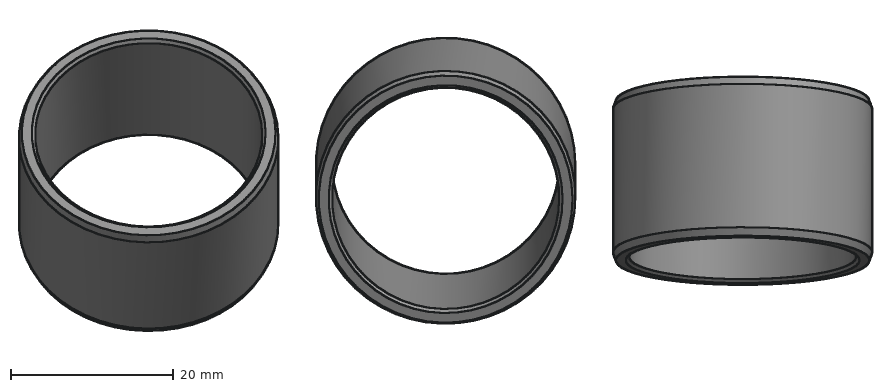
import cadquery as cq
import math

outer_diameter = 32.0
bore_diameter = 28.0
height = 20.0

outer_chamfer_height = 1.0
outer_chamfer_angle = 20.0
outer_chamfer_width = outer_chamfer_height * math.tan(math.radians(outer_chamfer_angle))

bore_chamfer = 0.4

outer_radius = outer_diameter / 2
bore_radius = bore_diameter / 2
face_outer_radius = outer_radius - outer_chamfer_width
face_inner_radius = bore_radius + bore_chamfer

wall_section = (
    cq.Workplane("XZ")
    .moveTo(face_inner_radius, 0)
    .lineTo(face_outer_radius, 0)
    .lineTo(outer_radius, outer_chamfer_height)
    .lineTo(outer_radius, height - outer_chamfer_height)
    .lineTo(face_outer_radius, height)
    .lineTo(face_inner_radius, height)
    .lineTo(bore_radius, height - bore_chamfer)
    .lineTo(bore_radius, bore_chamfer)
    .close()
)

result = wall_section.revolve(360, (0, 0, 0), (0, 1, 0))